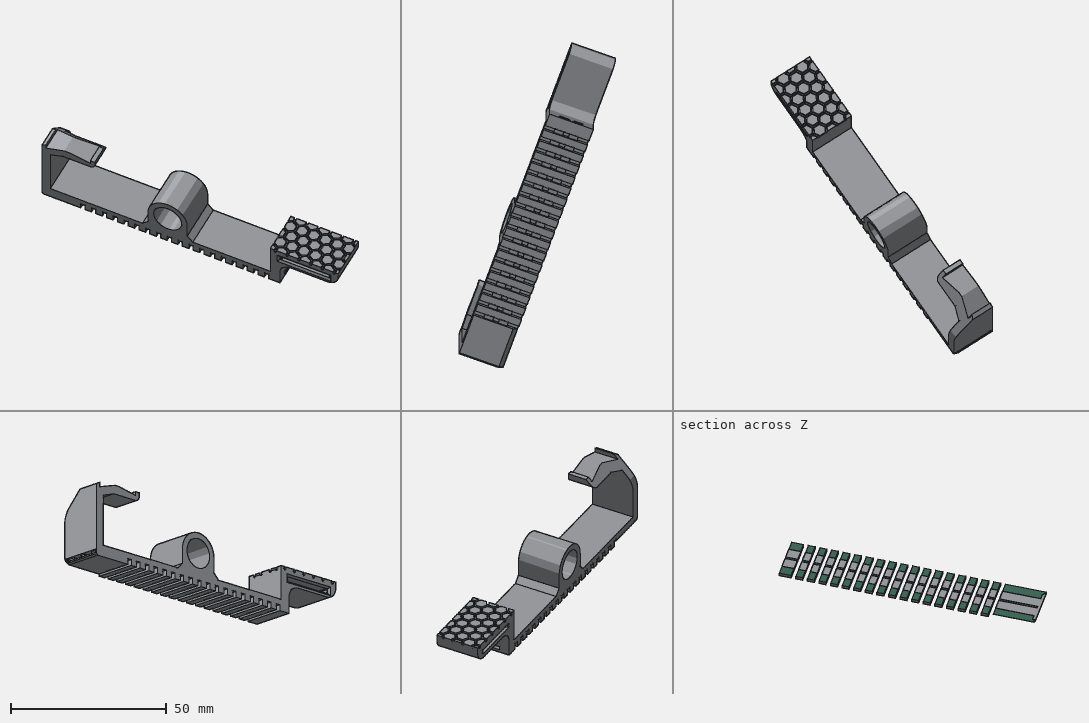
import cadquery as cq
import math

LENGTH = 105.97
WIDTH = 15.0
HEIGHT = 25.53

FLOOR_TOP = 4.0
BASE_END = 85.2
GROOVE_COUNT = 18
GROOVE_PITCH = 3.87
GROOVE_WIDTH = 1.5
GROOVE_DEPTH = 2.0
FIRST_GROOVE_X = 13.85

WALL = 3.0
LIP_WIDTH = 1.4
LIP_LOW_Z = 24.3
LIP_HIGH_Z = 25.0
NOTCH_Z = 23.5
PEAK_START_X = 8.1
PEAK_END_X = 9.9
SADDLE_Z = 24.2
TIP_START_X = 17.3
TIP_END_X = 18.9
ARM_UNDER_Z = 22.5
ARM_ROOT_Z = 21.0
ARM_BEND_X = 7.5
TIP_RADIUS = 1.7

SHOULDER_Z = 17.05
SHOULDER_RADIUS = 7.5
SHOULDER_HALF_TURN = math.radians(45) / 2

FOOT_BEVEL = 1.5
FOOT_EDGE_BREAK = 0.5

TUBE_X = 45.0
TUBE_Z = 11.0
TUBE_RADIUS = 7.0
BORE_DIAMETER = 10.0
TUBE_FOOT = 2.0

GRIP_X = 81.75
GRIP_TOP = 15.5
GRIP_UNDER_Z = 9.5
GRIP_NOSE_RADIUS = 4.0
GRIP_ROOT_RADIUS = 4.0

WINDOW_LENGTH = 17.4
WINDOW_Z = 11.0
WINDOW_HEIGHT = 1.6
WINDOW_FLARE = 0.65
FLARE_END_LEDGE = 0.3
WINDOW_CORNER = 0.3
FLARE_ANGLE = 45.0

CELL_PITCH = 4.2
COMB_X = 94.0
COMB_END_MARGIN = 0.4
CELL_GAP = 0.75
CELL_WALL = 0.7
CELL_COLUMNS = 3
CELL_ROWS = 2

SLOT_BOTTOM = 1.0
SLOT_HEIGHT = 1.1
SLOT_MARGIN = 0.6
MOUTH_DEPTH = 1.0
MOUTH_TAPER = 1.0
CHANNEL_START_Y = 3.5
CHANNEL_END_Y = 11.5
RIB_Y = 7.5
RIB_TOP_WIDTH = 2.0
RIB_BOTTOM_WIDTH = 0.8


def extrude_along_y(sketch):
    """Extrude a profile of the XZ plane over the full width, towards +Y."""
    return sketch.extrude(-WIDTH)


def body():
    """Side profile of the hook, base bar and grip as one plate."""
    diagonal = math.sqrt(0.5)
    nose_x = LENGTH - GRIP_NOSE_RADIUS
    nose_z = GRIP_UNDER_Z + GRIP_NOSE_RADIUS
    nose_middle = (nose_x + GRIP_NOSE_RADIUS * diagonal, nose_z - GRIP_NOSE_RADIUS * diagonal)
    root_x = BASE_END + GRIP_ROOT_RADIUS
    root_z = GRIP_UNDER_Z - GRIP_ROOT_RADIUS
    root_middle = (root_x - GRIP_ROOT_RADIUS * diagonal, root_z + GRIP_ROOT_RADIUS * diagonal)
    tip_x = TIP_END_X - TIP_RADIUS
    tip_z = ARM_UNDER_Z + TIP_RADIUS
    tip_middle = (tip_x + TIP_RADIUS * diagonal, tip_z - TIP_RADIUS * diagonal)
    return extrude_along_y(
        cq.Workplane("XZ")
        .moveTo(0, 0)
        .lineTo(BASE_END, 0)
        .lineTo(BASE_END, root_z)
        .threePointArc(root_middle, (root_x, GRIP_UNDER_Z))
        .lineTo(nose_x, GRIP_UNDER_Z)
        .threePointArc(nose_middle, (LENGTH, nose_z))
        .lineTo(LENGTH, GRIP_TOP)
        .lineTo(GRIP_X, GRIP_TOP)
        .lineTo(GRIP_X, FLOOR_TOP)
        .lineTo(WALL, FLOOR_TOP)
        .lineTo(WALL, ARM_ROOT_Z)
        .lineTo(ARM_BEND_X, ARM_UNDER_Z)
        .lineTo(tip_x, ARM_UNDER_Z)
        .threePointArc(tip_middle, (TIP_END_X, tip_z))
        .lineTo(TIP_END_X, HEIGHT)
        .lineTo(TIP_START_X, HEIGHT)
        .lineTo(TIP_START_X, SADDLE_Z)
        .lineTo(PEAK_END_X, HEIGHT)
        .lineTo(PEAK_START_X, HEIGHT)
        .lineTo(LIP_WIDTH, NOTCH_Z)
        .lineTo(LIP_WIDTH, LIP_HIGH_Z)
        .lineTo(0, LIP_LOW_Z)
        .close()
    )


def tube():
    """Upright round-topped housing with bevelled feet on the floor."""
    foot_z = FLOOR_TOP + TUBE_FOOT
    foot_half = TUBE_RADIUS + TUBE_FOOT
    return extrude_along_y(
        cq.Workplane("XZ")
        .moveTo(TUBE_X - foot_half, FLOOR_TOP)
        .lineTo(TUBE_X + foot_half, FLOOR_TOP)
        .lineTo(TUBE_X + TUBE_RADIUS, foot_z)
        .lineTo(TUBE_X + TUBE_RADIUS, TUBE_Z)
        .threePointArc((TUBE_X, TUBE_Z + TUBE_RADIUS), (TUBE_X - TUBE_RADIUS, TUBE_Z))
        .lineTo(TUBE_X - TUBE_RADIUS, foot_z)
        .close()
    )


def bore():
    return extrude_along_y(cq.Workplane("XZ").center(TUBE_X, TUBE_Z).circle(BORE_DIAMETER / 2))


def rack_grooves():
    """Cross grooves that leave square teeth under the base."""
    starts = [(FIRST_GROOVE_X + index * GROOVE_PITCH, 0) for index in range(GROOVE_COUNT)]
    groove = cq.Workplane("XY").box(GROOVE_WIDTH, WIDTH, GROOVE_DEPTH, centered=False).val()
    return cq.Workplane("XY").pushPoints(starts).eachpoint(lambda place: groove.moved(place))


def shoulder_cut():
    """Waste above the hook's 45 degree slope and the arc that runs into the rear face."""
    tangent_drop = SHOULDER_RADIUS * math.tan(SHOULDER_HALF_TURN)
    slope_inset = tangent_drop * math.sqrt(0.5)
    arc_sag = SHOULDER_RADIUS * (1 - math.cos(SHOULDER_HALF_TURN))
    arc_rise = SHOULDER_RADIUS * math.sin(SHOULDER_HALF_TURN)
    arc_start_z = SHOULDER_Z - tangent_drop
    return (
        cq.Workplane("YZ")
        .moveTo(WIDTH, arc_start_z)
        .threePointArc(
            (WIDTH - arc_sag, arc_start_z + arc_rise),
            (WIDTH - slope_inset, SHOULDER_Z + slope_inset),
        )
        .lineTo(WIDTH - (HEIGHT - SHOULDER_Z), HEIGHT)
        .lineTo(WIDTH, HEIGHT)
        .close()
        .extrude(TIP_END_X)
    )


def foot_corner(length, leg):
    """Triangular prism in the lower rear corner of the hook block."""
    return (
        cq.Workplane("YZ")
        .moveTo(WIDTH, 0)
        .lineTo(WIDTH, leg)
        .lineTo(WIDTH - leg, 0)
        .close()
        .extrude(length)
    )


def break_foot_edge(part):
    """Bevel the bottom and corner edges of the outer face of the hook."""
    low_corner = (-FOOT_BEVEL, 0, -FOOT_BEVEL)
    high_corner = (FOOT_BEVEL, WIDTH, FOOT_BEVEL)
    below_bevel = cq.selectors.BoxSelector(low_corner, high_corner)
    return part.edges("<X").edges(below_bevel).chamfer(FOOT_EDGE_BREAK)


def window():
    """Long opening through the grip, flared at the front face."""
    middle = ((GRIP_X + LENGTH) / 2, WINDOW_Z + WINDOW_HEIGHT / 2)
    opening = extrude_along_y(
        cq.Workplane("XZ").center(*middle).rect(WINDOW_LENGTH, WINDOW_HEIGHT)
    )
    opening = opening.edges("|Y").chamfer(WINDOW_CORNER)
    flare_length = WINDOW_LENGTH + 2 * (FLARE_END_LEDGE + WINDOW_FLARE)
    flare_height = WINDOW_HEIGHT + 2 * WINDOW_FLARE
    flare = (
        cq.Workplane("XZ")
        .center(*middle)
        .rect(flare_length, flare_height)
        .extrude(-WINDOW_FLARE, taper=FLARE_ANGLE)
    )
    return opening.union(flare)


def honeycomb_grooves():
    """V-bottomed grooves around a field of hexagons on top of the grip."""
    comb_length = LENGTH - COMB_END_MARGIN - GRIP_X
    flats_to_corners = 1 / math.cos(math.pi / 6)
    cell_diameter = (CELL_PITCH - CELL_GAP) * flats_to_corners
    skirt_diameter = CELL_PITCH * flats_to_corners
    centres = []
    for row in range(-CELL_ROWS, CELL_ROWS + 1):
        y = WIDTH / 2 + row * CELL_PITCH * math.sin(math.pi / 3)
        shift = CELL_PITCH / 2 if row % 2 else 0
        for column in range(-CELL_COLUMNS - 1, CELL_COLUMNS + 1):
            centres.append((COMB_X + column * CELL_PITCH + shift, y))
    depth = CELL_WALL + CELL_GAP / 2
    base_z = GRIP_TOP - depth
    sheet = cq.Workplane("XY").box(comb_length, WIDTH, depth, centered=False)
    sheet = sheet.translate((GRIP_X, 0, base_z))
    post = cq.Workplane("XY").polygon(6, cell_diameter).extrude(depth)
    skirt = cq.Workplane("XY").polygon(6, skirt_diameter).extrude(CELL_GAP / 2, taper=FLARE_ANGLE)
    cell = post.union(skirt).rotate((0, 0, 0), (0, 0, 1), 30)
    for x, y in centres:
        sheet = sheet.cut(cell.translate((x, y, base_z)))
    return sheet


def slot_mouth():
    """Shallow wide pocket in the outer face of the hook, tapered on the front side."""
    rear_y = WIDTH - SLOT_MARGIN
    pocket = (
        cq.Workplane("XY", origin=(0, 0, SLOT_BOTTOM))
        .moveTo(0, SLOT_MARGIN)
        .lineTo(MOUTH_DEPTH, SLOT_MARGIN + MOUTH_TAPER)
        .lineTo(MOUTH_DEPTH, rear_y)
        .lineTo(0, rear_y)
        .close()
        .extrude(SLOT_HEIGHT)
    )
    corner = foot_corner(MOUTH_DEPTH, SLOT_BOTTOM + SLOT_HEIGHT + SLOT_MARGIN)
    return pocket.cut(corner)


def channels():
    """Pair of lengthwise channels split by a rib that narrows downwards."""
    slot_top = SLOT_BOTTOM + SLOT_HEIGHT
    width = CHANNEL_END_Y - CHANNEL_START_Y
    opening = (
        cq.Workplane("XY")
        .box(BASE_END, width, SLOT_HEIGHT, centered=False)
        .translate((0, CHANNEL_START_Y, SLOT_BOTTOM))
    )
    rib = (
        cq.Workplane("YZ", origin=(MOUTH_DEPTH, 0, 0))
        .moveTo(RIB_Y - RIB_BOTTOM_WIDTH / 2, SLOT_BOTTOM)
        .lineTo(RIB_Y + RIB_BOTTOM_WIDTH / 2, SLOT_BOTTOM)
        .lineTo(RIB_Y + RIB_TOP_WIDTH / 2, slot_top)
        .lineTo(RIB_Y - RIB_TOP_WIDTH / 2, slot_top)
        .close()
        .extrude(BASE_END - MOUTH_DEPTH)
    )
    return opening.cut(rib)


part = body().union(tube()).cut(bore())
part = part.cut(shoulder_cut())
part = part.cut(foot_corner(FIRST_GROOVE_X, FOOT_BEVEL))
part = break_foot_edge(part)
part = part.cut(rack_grooves())
part = part.cut(slot_mouth()).cut(channels())
part = part.cut(window()).cut(honeycomb_grooves())
result = part